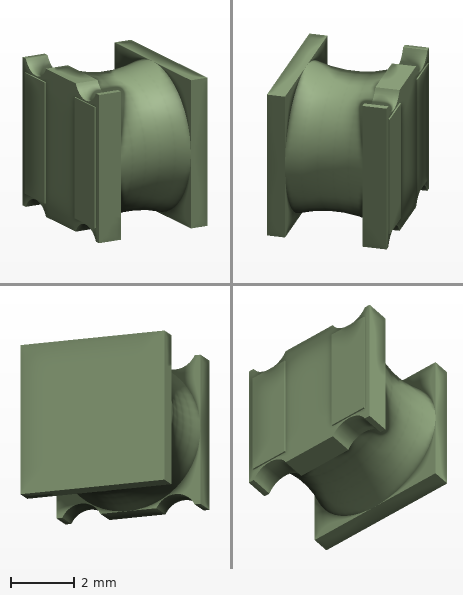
import cadquery as cq

flange_side = 4.9
total_depth = 4.0
back_flange_thickness = 0.6
front_flange_thickness = 0.8
pad_thickness = 0.05
core_length = total_depth - back_flange_thickness - front_flange_thickness - pad_thickness

core_end_radius = flange_side / 2
core_waist_radius = 2.25

pad_width = 1.3
pad_height = 4.0
pad_center_x = 1.6
notch_width = pad_width
notch_depth = 0.4

pad_front_y = -total_depth / 2
flange_front_y = pad_front_y + pad_thickness
core_front_y = flange_front_y + front_flange_thickness
core_back_y = core_front_y + core_length


def block(width, depth, height, center_x, front_y):
    """Box centered on Z = 0 whose front face lies at front_y."""
    return cq.Workplane("XY").box(width, depth, height).translate((center_x, front_y + depth / 2, 0))


def waisted_core():
    """Concave arc profile revolved about the Y axis."""
    waist_y = core_front_y + core_length / 2
    return (
        cq.Workplane("XY")
        .moveTo(0, core_front_y)
        .lineTo(core_end_radius, core_front_y)
        .threePointArc((core_waist_radius, waist_y), (core_end_radius, core_back_y))
        .lineTo(0, core_back_y)
        .close()
        .revolve(360, (0, 0, 0), (0, 1, 0))
    )


def notch(center_x, side):
    """Round cutter for the top (side = 1) or bottom (side = -1) edge of the front flange."""
    radius = ((notch_width / 2) ** 2 + notch_depth**2) / (2 * notch_depth)
    center_z = side * (flange_side / 2 - notch_depth + radius)
    return (
        cq.Workplane("XZ", origin=(center_x, core_front_y, center_z))
        .circle(radius)
        .extrude(front_flange_thickness)
    )


front_flange = block(flange_side, front_flange_thickness, flange_side, 0, flange_front_y)
back_flange = block(flange_side, back_flange_thickness, flange_side, 0, core_back_y)

for pad_x in (-pad_center_x, pad_center_x):
    for side in (-1, 1):
        front_flange = front_flange.cut(notch(pad_x, side))
    front_flange = front_flange.union(block(pad_width, pad_thickness, pad_height, pad_x, pad_front_y))

result = front_flange.union(waisted_core()).union(back_flange)